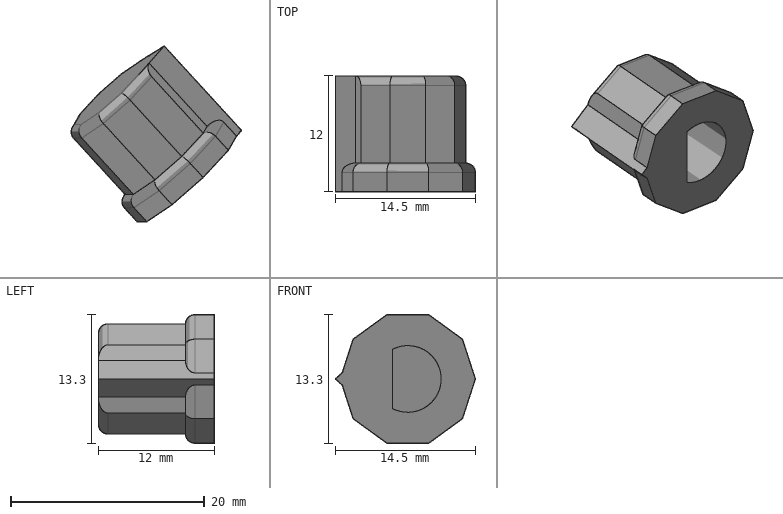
import cadquery as cq
import math

SIDES = 10
KNOB_LENGTH = 12.0
SKIRT_RADIUS = 7.0
SKIRT_LENGTH = 3.0
GRIP_RADIUS = 6.0
EDGE_ROUND = 1.0

POINTER_TIP_RADIUS = 7.5
POINTER_HALF_ANGLE = 41.8
POINTER_ROOT_RADIUS = 4.0

BORE_RADIUS = 3.45
BORE_FLAT_OFFSET = 1.58
END_WALL = 2.0


def end_plane():
    """Workplane on the skirt end: local x is X, local y is Z; extrude negative for +Y."""
    return cq.Workplane("XZ")


def ten_sided_prism(corner_radius, length):
    return end_plane().polygon(SIDES, 2 * corner_radius).extrude(-length)


def make_skirt():
    skirt = ten_sided_prism(SKIRT_RADIUS, SKIRT_LENGTH)
    return skirt.faces(">Y").edges().fillet(EDGE_ROUND)


def make_grip():
    """Grip with its end rounded, except along the two sides that flank the pointer."""
    grip = ten_sided_prism(GRIP_RADIUS, KNOB_LENGTH)
    first_corner_x = -GRIP_RADIUS * math.cos(2 * math.pi / SIDES)
    rounded_edges = grip.faces(">Y").edges().filter(lambda edge: edge.Center().x > first_corner_x)
    return rounded_edges.fillet(EDGE_ROUND)


def make_pointer():
    pointer_depth = POINTER_TIP_RADIUS - POINTER_ROOT_RADIUS
    root_half_width = pointer_depth * math.tan(math.radians(POINTER_HALF_ANGLE))
    outline = [
        (-POINTER_TIP_RADIUS, 0),
        (-POINTER_ROOT_RADIUS, root_half_width),
        (-POINTER_ROOT_RADIUS, -root_half_width),
    ]
    return end_plane().polyline(outline).close().extrude(-KNOB_LENGTH)


def make_bore():
    """Blind D-shaped shaft bore, open at the skirt end, flat toward the pointer."""
    flat_half_width = math.sqrt(BORE_RADIUS**2 - BORE_FLAT_OFFSET**2)
    return (
        end_plane()
        .moveTo(-BORE_FLAT_OFFSET, -flat_half_width)
        .threePointArc((BORE_RADIUS, 0), (-BORE_FLAT_OFFSET, flat_half_width))
        .close()
        .extrude(-(KNOB_LENGTH - END_WALL))
    )


result = make_skirt().union(make_grip()).union(make_pointer()).cut(make_bore())